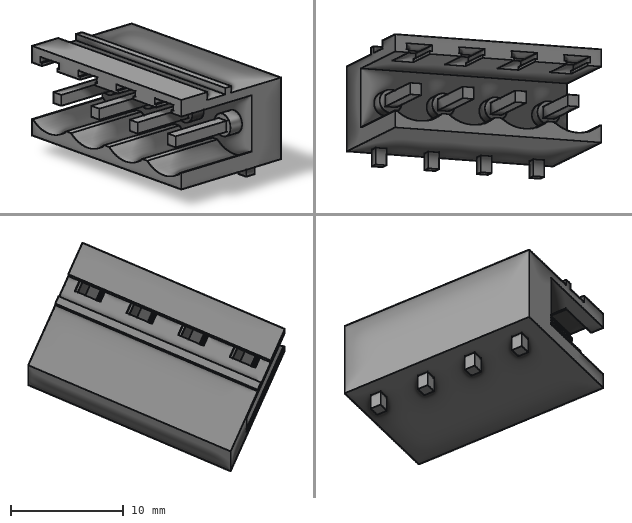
import cadquery as cq


WIDTH = 19.6
DEPTH = 12.0
ROOF_TOP = 7.68
ROOF_UNDERSIDE = 6.86
FLOOR_TOP = 1.55
CAVITY_DEPTH = 8.45

LIP_TOP = 8.43
LIP_DEPTH = 3.14
RIB_TOP = 8.3
RIB_WIDTH = 0.73
RIB_FRONT = 5.3

CONTACT_COUNT = 4
PITCH = 5.0
CONTACT_AXIS_HEIGHT = 3.8
CONTACT_XS = [(i - (CONTACT_COUNT - 1) / 2) * PITCH for i in range(CONTACT_COUNT)]

SLOT_WIDTH = 2.45
SLOT_NECK_WIDTH = 2.0
SLOT_STEP_HEIGHT = 7.13
SLOT_LENGTH = LIP_DEPTH + 1.0

TROUGH_BOTTOM = 0.75
TROUGH_WIDTH = 4.35

COLLAR_DIAMETER = 2.12
COLLAR_LENGTH = 1.4

PIN_SIZE = 1.04
PIN_TIP_SETBACK = 0.95
TAIL_LENGTH = 1.5
TAIL_CENTER_Y = DEPTH - 2.04


def box(x_center, x_size, y_range, z_range):
    """Box centred on x_center, spanning the given Y and Z ranges."""
    y_min, y_max = y_range
    z_min, z_max = z_range
    return cq.Workplane("XY").box(
        x_size, y_max - y_min, z_max - z_min, centered=(True, False, False)
    ).translate((x_center, y_min, z_min))


def make_shell():
    """C-shaped side profile with the rib and lip on its roof, swept across the width."""
    rib_back = RIB_FRONT + RIB_WIDTH
    profile = [
        (0, 0),
        (DEPTH, 0),
        (DEPTH, ROOF_TOP),
        (rib_back, ROOF_TOP),
        (rib_back, RIB_TOP),
        (RIB_FRONT, RIB_TOP),
        (RIB_FRONT, ROOF_TOP),
        (LIP_DEPTH, ROOF_TOP),
        (LIP_DEPTH, LIP_TOP),
        (0, LIP_TOP),
        (0, ROOF_UNDERSIDE),
        (CAVITY_DEPTH, ROOF_UNDERSIDE),
        (CAVITY_DEPTH, FLOOR_TOP),
        (0, FLOOR_TOP),
    ]
    return cq.Workplane("YZ").polyline(profile).close().extrude(WIDTH / 2, both=True)


def make_latch_slot(x):
    """T-section cutter, wide at roof level and narrower where it opens into the cavity."""
    y_range = (0, SLOT_LENGTH)
    wide_part = box(x, SLOT_WIDTH, y_range, (SLOT_STEP_HEIGHT, ROOF_TOP))
    neck = box(x, SLOT_NECK_WIDTH, y_range, (ROOF_UNDERSIDE, SLOT_STEP_HEIGHT))
    return wide_part.union(neck)


def make_trough(x):
    """Circular-segment cutter running along the cavity floor below one pin."""
    half_width = TROUGH_WIDTH / 2
    return (
        cq.Workplane("XZ")
        .moveTo(x - half_width, FLOOR_TOP)
        .threePointArc((x, TROUGH_BOTTOM), (x + half_width, FLOOR_TOP))
        .close()
        .extrude(-CAVITY_DEPTH)
    )


def make_collar(x):
    """Round collar standing forward from the cavity wall."""
    return (
        cq.Workplane("XZ", origin=(x, CAVITY_DEPTH, CONTACT_AXIS_HEIGHT))
        .circle(COLLAR_DIAMETER / 2)
        .extrude(COLLAR_LENGTH)
    )


def make_pin(x):
    """Square pin: a contact bar along Y with a tail bent down through the underside."""
    half_size = PIN_SIZE / 2
    tail_front = TAIL_CENTER_Y - half_size
    tail_back = TAIL_CENTER_Y + half_size
    bar_bottom = CONTACT_AXIS_HEIGHT - half_size
    bar_top = CONTACT_AXIS_HEIGHT + half_size
    bar = box(x, PIN_SIZE, (PIN_TIP_SETBACK, tail_back), (bar_bottom, bar_top))
    tail = box(x, PIN_SIZE, (tail_front, tail_back), (-TAIL_LENGTH, bar_top))
    return bar.union(tail)


def make_housing(pins):
    """Housing with collars, troughs and latch slots, and a matching passage for each pin."""
    housing = make_shell()
    for x in CONTACT_XS:
        housing = housing.union(make_collar(x))
        housing = housing.cut(make_trough(x))
        housing = housing.cut(make_latch_slot(x))
    for pin in pins:
        housing = housing.cut(pin)
    return housing


pins = [make_pin(x) for x in CONTACT_XS]
housing = make_housing(pins)

result = cq.Compound.makeCompound([housing.val(), *[pin.val() for pin in pins]])